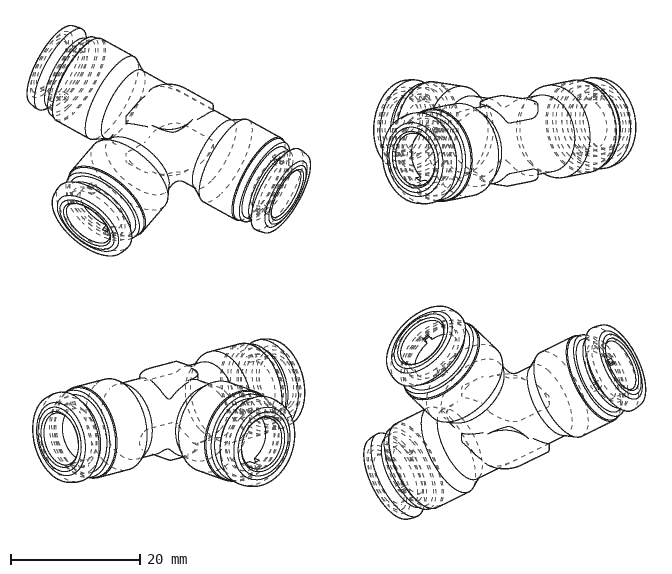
import cadquery as cq
import math


tube_radius = 6.0
tube_blend = 1.5
port_length = 22.3

socket_radius = 7.25
shoulder_start = 8.55
shoulder_end = 10.7
socket_end = 16.85
cap_start = 17.0
cap_end = 18.0
cap_start_radius = 7.1
cap_end_radius = 6.9

guide_end = 19.15
guide_start_radius = 6.2
guide_end_radius = 6.05

neck_radius = 5.0
neck_fillet = 0.5
collar_start = 20.35
collar_rim_end = 20.8
collar_radius = 7.1
collar_face = 22.03
collar_face_radius = 6.85
collar_edge_fillet = 0.3
nose_base_radius = 5.77
nose_end_radius = 5.1

bore_radius = 4.1
bore_mouth_radius = 4.42
bore_depth = 4.1

slot_width = 1.0
slot_end = 19.3
slot_overcut = 0.1
slot_length = 2 * (neck_radius + slot_overcut)

slot_tilts = {0: -25.0, 180: 18.5, -90: 18.5}

pad_arc_radius = 4.5
pad_reach = 5.5
pad_fillet = 0.5


def port():
    """Solid port turned about the X axis, from the tee centre to the collar nose."""
    profile = (
        cq.Workplane("XY")
        .moveTo(0, 0)
        .lineTo(0, tube_radius)
        .lineTo(shoulder_start, tube_radius)
        .lineTo(shoulder_end, socket_radius)
        .lineTo(socket_end, socket_radius)
        .lineTo(cap_start, cap_start_radius)
        .lineTo(cap_end, cap_end_radius)
        .lineTo(cap_end, guide_start_radius)
        .lineTo(guide_end, guide_end_radius)
        .lineTo(guide_end, neck_radius)
        .lineTo(collar_start - neck_fillet, neck_radius)
        .radiusArc((collar_start, neck_radius + neck_fillet), -neck_fillet)
        .lineTo(collar_start, collar_radius)
        .lineTo(collar_rim_end, collar_radius)
        .lineTo(collar_face, collar_face_radius)
        .lineTo(collar_face, nose_base_radius)
        .lineTo(port_length, nose_end_radius)
        .lineTo(port_length, 0)
        .close()
    )
    turned = profile.revolve(360, (0, 0, 0), (1, 0, 0))
    collar_front = turned.faces("|X").faces(">X[-2]")
    outer_edge = collar_front.edges(cq.selectors.RadiusNthSelector(-1))
    return outer_edge.fillet(collar_edge_fillet)


def bore(slot_tilt):
    """Blind bore with a chamfered mouth and a cross slot at its floor, along the X axis."""
    mouth_chamfer = bore_mouth_radius - bore_radius
    floor = port_length - bore_depth
    profile = (
        cq.Workplane("XY")
        .moveTo(floor, 0)
        .lineTo(floor, bore_radius)
        .lineTo(port_length - mouth_chamfer, bore_radius)
        .lineTo(port_length, bore_mouth_radius)
        .lineTo(port_length, 0)
        .close()
    )
    slot = (
        cq.Workplane("XY")
        .box(slot_end - floor, slot_width, slot_length, centered=(False, True, True))
        .translate((floor, 0, 0))
        .rotate((0, 0, 0), (1, 0, 0), slot_tilt)
    )
    return profile.revolve(360, (0, 0, 0), (1, 0, 0)).union(slot)


def pad():
    """Column whose ends are the flat pads; its middle is buried in the tubes."""
    arc_middle = pad_arc_radius * math.sqrt(0.5)
    height = 2 * tube_radius
    base = cq.Workplane("XY").workplane(offset=-tube_radius)
    block = (
        base.moveTo(0, pad_arc_radius)
        .lineTo(pad_reach, pad_arc_radius)
        .lineTo(pad_reach, -pad_reach)
        .lineTo(-pad_arc_radius, -pad_reach)
        .lineTo(-pad_arc_radius, 0)
        .threePointArc((-arc_middle, arc_middle), (0, pad_arc_radius))
        .close()
        .extrude(height)
    )
    block = block.edges("(>X and >Y) or (<X and <Y)").edges("|Z").fillet(pad_fillet)
    block = block.faces("|Z").edges().fillet(pad_fillet)
    inner_corner = base.rect(pad_reach, -pad_reach, centered=False).extrude(height)
    round_corner = base.circle(pad_arc_radius).extrude(height).intersect(inner_corner)
    return block.cut(inner_corner).union(round_corner)


def crotch_edges(body):
    """Select the edges where the branch tube meets the run tube."""
    tolerance = 0.01
    sample_fractions = (0.1, 0.5, 0.9)

    def on_both_tubes(point):
        on_run = abs(math.hypot(point.y, point.z) - tube_radius) < tolerance
        on_branch = abs(math.hypot(point.x, point.z) - tube_radius) < tolerance
        return on_run and on_branch and point.y < 0

    def is_crotch(edge):
        return all(on_both_tubes(edge.positionAt(fraction)) for fraction in sample_fractions)

    return [edge for edge in body.edges().vals() if is_crotch(edge)]


def at_port(shape, angle):
    """Turn a shape built along +X about Z to the direction of a port."""
    return shape.rotate((0, 0, 0), (0, 0, 1), angle)


body = pad()
for angle in slot_tilts:
    body = body.union(at_port(port(), angle))
body = body.newObject(crotch_edges(body)).fillet(tube_blend)
for angle, slot_tilt in slot_tilts.items():
    body = body.cut(at_port(bore(slot_tilt), angle))

result = body